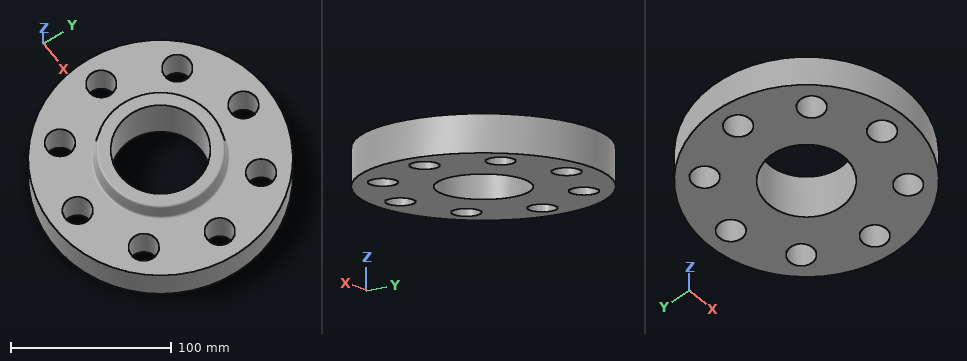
import cadquery as cq

flange_diameter = 165.0
flange_thickness = 25.5
total_height = 36.6
bore_diameter = 62.0

hub_base_diameter = 83.8
hub_top_diameter = 80.4
hub_height = total_height - flange_thickness
hub_fillet_radius = 1.5

hole_count = 8
hole_diameter = 19.0
bolt_circle_diameter = 127.1


def make_flange():
    return cq.Workplane("XY").circle(flange_diameter / 2).extrude(flange_thickness)


def make_hub():
    """Tapered hub standing on the flange face."""
    return (
        cq.Workplane("XY")
        .workplane(offset=flange_thickness)
        .circle(hub_base_diameter / 2)
        .workplane(offset=hub_height)
        .circle(hub_top_diameter / 2)
        .loft(ruled=True)
    )


def hub_slice(height):
    """Box selector for the circular edge of the hub at the given height."""
    reach = hub_base_diameter / 2 + hub_fillet_radius
    margin = hub_fillet_radius / 2
    return cq.selectors.BoxSelector(
        (-reach, -reach, height - margin),
        (reach, reach, height + margin),
        boundingbox=True,
    )


def make_bolt_holes():
    return (
        cq.Workplane("XY")
        .polarArray(bolt_circle_diameter / 2, 0, 360, hole_count)
        .circle(hole_diameter / 2)
        .extrude(flange_thickness)
    )


def make_bore():
    return cq.Workplane("XY").circle(bore_diameter / 2).extrude(total_height)


body = make_flange().union(make_hub())
for edge_height in (flange_thickness, total_height):
    body = body.edges(hub_slice(edge_height)).fillet(hub_fillet_radius)

result = body.cut(make_bolt_holes()).cut(make_bore())